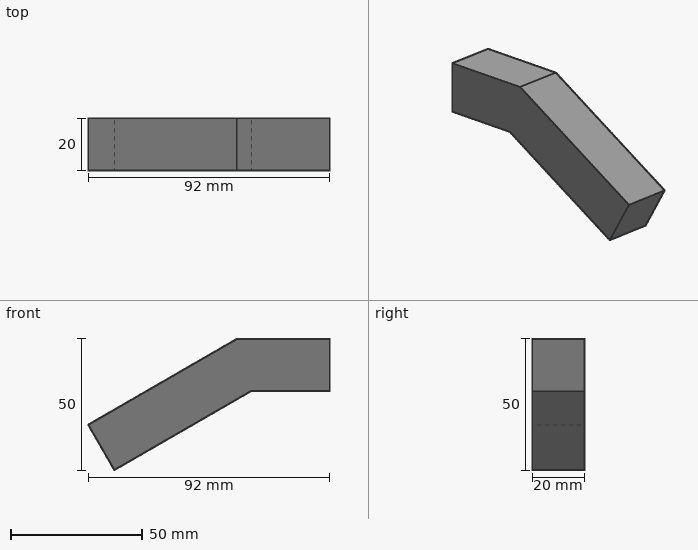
import cadquery as cq
import math

overall_length = 92.0
bar_side = 20.0
level_inner_length = 30.0
bend_angle = math.radians(30)

end_face_run = bar_side * math.sin(bend_angle)
end_face_rise = bar_side * math.cos(bend_angle)
slope_run = overall_length - level_inner_length - end_face_run
slope_drop = slope_run * math.tan(bend_angle)

mitre_offset = bar_side * math.tan(bend_angle / 2)

profile = [
    (0, 0),
    (level_inner_length, 0),
    (level_inner_length, bar_side),
    (-mitre_offset, bar_side),
    (-slope_run - end_face_run, -slope_drop + end_face_rise),
    (-slope_run, -slope_drop),
]

result = cq.Workplane("XZ").polyline(profile).close().extrude(bar_side / 2, both=True)